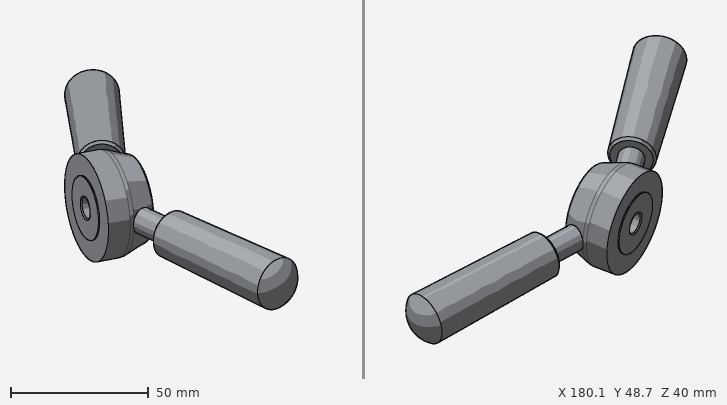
import cadquery as cq
import math

hub_diameter = 40.0
hub_height = 20.2
seat_diameter = 24.0
seat_height = 0.5
rim_top = 10.0
rim_blend_radius = 5.0
top_edge_radius = 1.0

thread_diameter = 8.0
thread_depth = 11.0
drill_diameter = 7.0
drill_depth = 14.0
mouth_diameter = 9.0
drill_point_angle = 118.0

arm_angle = 20.0
arm_origin_height = 8.6
rod_diameter = 10.0
grip_start = 32.9
grip_length = 57.0
grip_inner_diameter = 18.0
grip_outer_diameter = 20.0
grip_edge_size = 1.0
dome_height = 5.15

hub_radius = hub_diameter / 2
cone_top_radius = hub_radius - (hub_height - rim_top) * math.tan(math.radians(arm_angle))


def revolve_about_y(profile):
    return profile.close().revolve(360, (0, 0, 0), (0, 1, 0))


def make_hub():
    seat_radius = seat_diameter / 2
    body = revolve_about_y(
        cq.Workplane("XY")
        .moveTo(0, 0)
        .lineTo(seat_radius, 0)
        .lineTo(seat_radius, seat_height)
        .lineTo(hub_radius, seat_height)
        .lineTo(hub_radius, rim_top)
        .lineTo(cone_top_radius, hub_height)
        .lineTo(0, hub_height)
    )
    search_margin = 0.1
    rim_corner = cq.selectors.BoxSelector(
        (-hub_diameter, rim_top - search_margin, -hub_diameter),
        (hub_diameter, rim_top + search_margin, hub_diameter),
        boundingbox=False,
    )
    body = body.edges("%CIRCLE").edges(rim_corner).fillet(rim_blend_radius)
    return body.faces(">Y").edges().fillet(top_edge_radius)


def make_bore():
    thread_radius = thread_diameter / 2
    drill_radius = drill_diameter / 2
    mouth_radius = mouth_diameter / 2
    mouth_depth = mouth_radius - thread_radius
    point_depth = drill_radius / math.tan(math.radians(drill_point_angle / 2))
    return revolve_about_y(
        cq.Workplane("XY")
        .moveTo(0, 0)
        .lineTo(mouth_radius, 0)
        .lineTo(thread_radius, mouth_depth)
        .lineTo(thread_radius, thread_depth)
        .lineTo(drill_radius, thread_depth)
        .lineTo(drill_radius, drill_depth)
        .lineTo(0, drill_depth + point_depth)
    )


def make_arm():
    """Rod and tapered, domed grip along +X, tilted up towards +Y."""
    rod_radius = rod_diameter / 2
    inner_radius = grip_inner_diameter / 2
    outer_radius = grip_outer_diameter / 2
    grip_end = grip_start + grip_length
    dome_radius = (outer_radius**2 + dome_height**2) / (2 * dome_height)
    dome_center = grip_end + dome_height - dome_radius
    half_angle = math.asin(outer_radius / dome_radius) / 2
    dome_middle = (
        dome_center + dome_radius * math.cos(half_angle),
        dome_radius * math.sin(half_angle),
    )
    rod_start = hub_radius / 2
    arm = (
        cq.Workplane("XY")
        .moveTo(rod_start, 0)
        .lineTo(rod_start, rod_radius)
        .lineTo(grip_start, rod_radius)
        .lineTo(grip_start, inner_radius - grip_edge_size)
        .lineTo(grip_start + grip_edge_size, inner_radius)
        .lineTo(grip_end, outer_radius)
        .threePointArc(dome_middle, (grip_end + dome_height, 0))
        .close()
        .revolve(360, (0, 0, 0), (1, 0, 0))
    )
    arm = arm.rotate((0, 0, 0), (0, 0, 1), arm_angle)
    return arm.translate((0, arm_origin_height, 0))


right_arm = make_arm()
left_arm = right_arm.mirror("YZ")
result = make_hub().union(right_arm).union(left_arm).cut(make_bore())